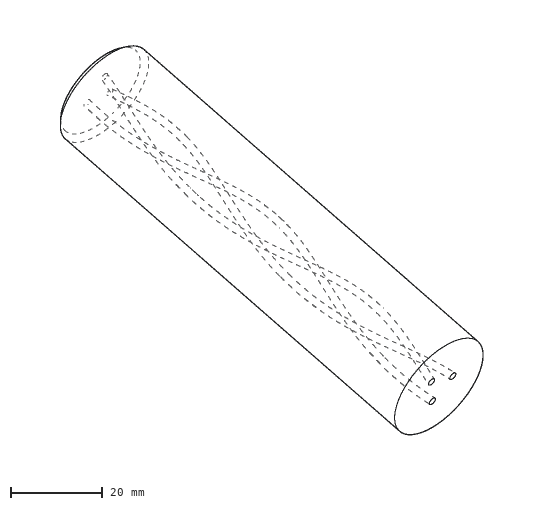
import cadquery as cq

bar_length = 110.0
bar_diameter = 26.0
chamfer_size = 1.3

channel_count = 3
channel_diameter = 1.8
channel_circle_radius = 4.1
channel_pitch = 96.8
first_channel_angle = 73.0
full_turn = 360.0


def make_bar():
    bar = cq.Workplane("YZ").circle(bar_diameter / 2).extrude(bar_length)
    return bar.faces("<X").chamfer(chamfer_size)


def make_channels():
    twist_angle = full_turn * bar_length / channel_pitch
    return (
        cq.Workplane("YZ")
        .polarArray(channel_circle_radius, first_channel_angle, full_turn, channel_count)
        .circle(channel_diameter / 2)
        .twistExtrude(bar_length, twist_angle)
    )


result = make_bar().cut(make_channels())